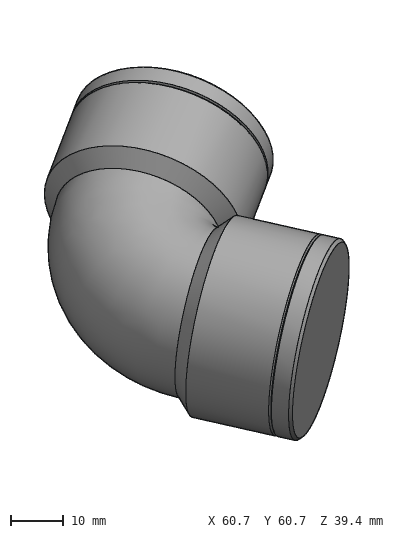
import cadquery as cq

pipe_diameter = 33.32
bend_radius = 17.0
bend_angle = 90

socket_diameter = 39.38
socket_length = 24.0
end_chamfer = 0.6

collar_length = 4.0
groove_width = 0.55
groove_depth = 0.5

pipe_radius = pipe_diameter / 2
socket_radius = socket_diameter / 2
cone_length = socket_radius - pipe_radius


def make_bend():
    """Quarter torus from (0, bend_radius) on the Y axis to (bend_radius, 0) on the X axis."""
    return (
        cq.Workplane("XZ", origin=(0, bend_radius, 0))
        .circle(pipe_radius)
        .revolve(bend_angle, (bend_radius, 0, 0), (bend_radius, 1, 0))
    )


def make_socket():
    """Solid of revolution about the X axis, starting where the bend ends."""
    start = bend_radius
    end = start + socket_length
    groove_end = end - collar_length
    groove_start = groove_end - groove_width
    groove_middle = groove_end - groove_width / 2
    profile = [
        (start, 0),
        (start, pipe_radius),
        (start + cone_length, socket_radius),
        (groove_start, socket_radius),
        (groove_middle, socket_radius - groove_depth),
        (groove_end, socket_radius),
        (end - end_chamfer, socket_radius),
        (end, socket_radius - end_chamfer),
        (end, 0),
    ]
    return cq.Workplane("XY").polyline(profile).close().revolve(360, (0, 0, 0), (1, 0, 0))


x_socket = make_socket()
y_socket = x_socket.rotate((0, 0, 0), (0, 0, 1), bend_angle)

result = make_bend().union(x_socket).union(y_socket)